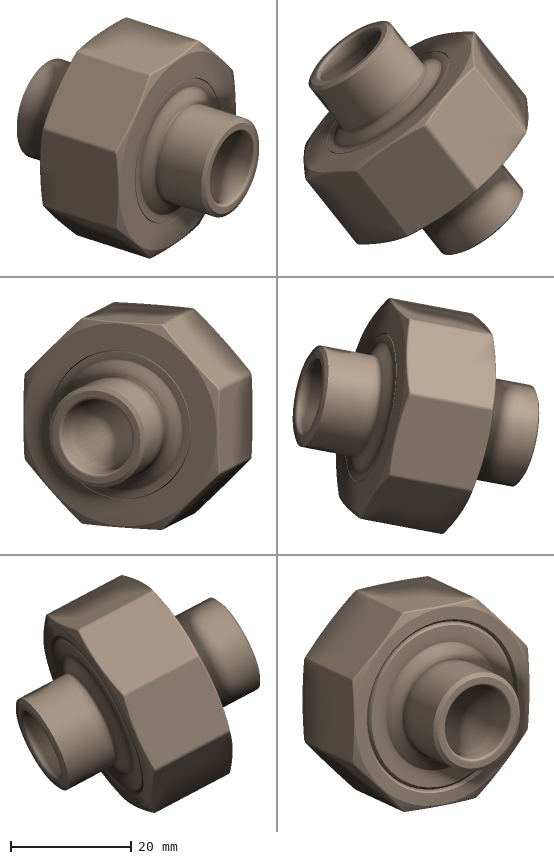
import cadquery as cq
import math

overall_length = 38.0
bore_diameter = 12.7
tube_diameter = 17.2

nut_across_flats = 35.0
nut_length = 16.0
nut_side_count = 8
nut_corner_radius = 1.0
nut_end_face_diameter = 34.4
nut_end_cone_angle = 20.0
nut_end_edge_radius = 0.3
nut_mouth_diameter = 30.0

thread_diameter = 29.0
threaded_end_face_diameter = 28.0
hub_cone_angle = 60.0
hub_cone_diameter = 22.1
hub_blend_radius = 0.45

tail_collar_diameter = 28.4
tail_collar_length = 3.8
tail_neck_diameter = 25.0
nut_small_bore_diameter = 25.3

weld_bevel_width = 0.72
weld_bevel_length = 0.4
bore_edge_radius = 0.5

half_length = overall_length / 2
nut_half_length = nut_length / 2
hub_face_half_spacing = nut_half_length
bore_radius = bore_diameter / 2
tube_radius = tube_diameter / 2
thread_radius = thread_diameter / 2
hub_cone_radius = hub_cone_diameter / 2
hub_cone_length = (hub_cone_radius - tube_radius) / math.tan(math.radians(hub_cone_angle))
tube_root = hub_face_half_spacing + hub_cone_length


def revolve_profile(points):
    """Revolve a closed outline of (axial, radial) points about the X axis."""
    return cq.Workplane("XY").polyline(points).close().revolve(360, (0, 0, 0), (1, 0, 0))


def edges_at(axial, radius):
    """Selector for the circular edge at one axial position and radius."""
    margin = 0.02
    outer = radius + margin
    return cq.selectors.BoxSelector(
        (axial - margin, -outer, -outer), (axial + margin, outer, outer), boundingbox=True
    )


def pipe_end(hub_points):
    """Pipe stub pointing towards +X; hub_points run from the mid-plane out to the hub face."""
    profile = [
        (0, bore_radius),
        *hub_points,
        (hub_face_half_spacing, hub_cone_radius),
        (tube_root, tube_radius),
        (half_length - weld_bevel_length, tube_radius),
        (half_length, tube_radius - weld_bevel_width),
        (half_length, bore_radius),
    ]
    body = revolve_profile(profile)
    body = body.edges(edges_at(half_length, bore_radius)).fillet(bore_edge_radius)
    body = body.edges(edges_at(tube_root, tube_radius)).fillet(hub_blend_radius)
    return body.edges(edges_at(hub_face_half_spacing, hub_cone_radius)).fillet(hub_blend_radius)


def make_threaded_end():
    face_radius = threaded_end_face_diameter / 2
    chamfer = thread_radius - face_radius
    stub = pipe_end([
        (0, thread_radius),
        (hub_face_half_spacing - chamfer, thread_radius),
        (hub_face_half_spacing, face_radius),
    ])
    return stub.mirror("YZ")


def make_tail_end():
    collar_radius = tail_collar_diameter / 2
    neck_radius = tail_neck_diameter / 2
    return pipe_end([
        (0, collar_radius),
        (tail_collar_length, collar_radius),
        (tail_collar_length, neck_radius),
        (hub_face_half_spacing, neck_radius),
    ])


def make_nut_blank():
    """Octagonal bar with rounded corners, coned at both ends, flats facing Y and Z."""
    across_corners = nut_across_flats / math.cos(math.pi / nut_side_count)
    half_side_angle = 180 / nut_side_count
    bar = (
        cq.Workplane("YZ")
        .polygon(nut_side_count, across_corners)
        .extrude(nut_half_length, both=True)
        .rotate((0, 0, 0), (1, 0, 0), half_side_angle)
        .edges("|X")
        .fillet(nut_corner_radius)
    )
    face_radius = nut_end_face_diameter / 2
    cone_outer_radius = across_corners / 2
    cone_length = (cone_outer_radius - face_radius) * math.tan(math.radians(nut_end_cone_angle))
    envelope = revolve_profile([
        (-nut_half_length, 0),
        (-nut_half_length, face_radius),
        (cone_length - nut_half_length, cone_outer_radius),
        (nut_half_length - cone_length, cone_outer_radius),
        (nut_half_length, face_radius),
        (nut_half_length, 0),
    ])
    blank = bar.intersect(envelope)
    return blank.edges("not(|X or %CIRCLE)").fillet(nut_end_edge_radius)


def make_nut():
    mouth_radius = nut_mouth_diameter / 2
    mouth_chamfer = mouth_radius - thread_radius
    small_bore_radius = nut_small_bore_diameter / 2
    cavity = revolve_profile([
        (-nut_half_length, 0),
        (-nut_half_length, mouth_radius),
        (mouth_chamfer - nut_half_length, thread_radius),
        (tail_collar_length, thread_radius),
        (tail_collar_length, small_bore_radius),
        (nut_half_length, small_bore_radius),
        (nut_half_length, 0),
    ])
    return make_nut_blank().cut(cavity)


threaded_end = make_threaded_end()
tail_end = make_tail_end()
nut = make_nut()

result = cq.Compound.makeCompound([threaded_end.val(), tail_end.val(), nut.val()])